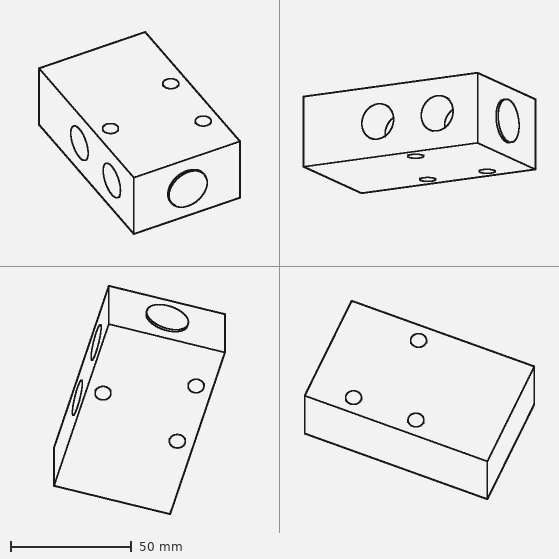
import cadquery as cq

block_length = 82.0
block_depth = 50.0
block_height = 30.0

boss_diameter = 18.0
boss_height = 1.0

port_diameter = 15.0
port_bore_depth = 20.0
port_spacing = 28.0
first_port_x = 35.0

mount_diameter = 6.6
mount_edge_distance = 7.0

second_port_x = first_port_x + port_spacing
port_xs = [first_port_x, second_port_x]
middle_x = (first_port_x + second_port_x) / 2
middle_y = block_depth / 2
middle_z = block_height / 2
rear_mount_y = block_depth - mount_edge_distance
mount_points = [(x, rear_mount_y) for x in port_xs] + [(middle_x, mount_edge_distance)]


def make_block():
    """Plain block with one corner at the origin."""
    return cq.Workplane("XY").box(block_length, block_depth, block_height, centered=False)


def make_boss():
    """Flat disc standing on the middle of the +X end."""
    end_plane = cq.Workplane("YZ", origin=(block_length, middle_y, middle_z))
    return end_plane.circle(boss_diameter / 2).extrude(boss_height)


def make_ports():
    """Blind flat-bottomed bores running from the -Y side toward +Y."""
    centres = [(x, middle_z) for x in port_xs]
    side = cq.Workplane("XZ").pushPoints(centres)
    return side.circle(port_diameter / 2).extrude(-port_bore_depth)


def make_mounting_holes():
    """Three holes in a triangle, right through the height."""
    base = cq.Workplane("XY").pushPoints(mount_points)
    return base.circle(mount_diameter / 2).extrude(block_height)


result = make_block().union(make_boss()).cut(make_ports()).cut(make_mounting_holes())